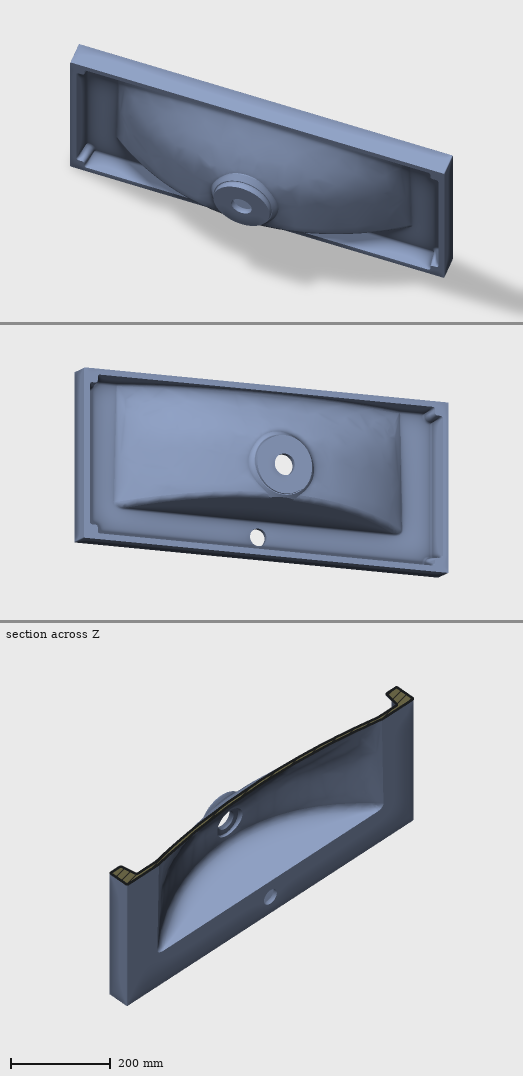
import cadquery as cq


LENGTH = 800.0
HEIGHT = 350.0
SLAB_DEPTH = 50.0
FLOOR_THICKNESS = 10.0
EDGE_RADIUS = 2.0

SIDE_RIM_WIDTH = 13.0
RIM_WIDTH = 12.0
CORNER_STEP = 17.0
RECESS_DRAFT = 10.0
RECESS_CORNER_RADIUS = 5.0
RECESS_FLOOR_RADIUS = 4.5
RECESS_DEPTH = SLAB_DEPTH - FLOOR_THICKNESS

BOWL_CREST = [
    (-115.0, 119.0),
    (-77.0, 119.0),
    (-6.0, 118.0),
    (35.0, 114.5),
    (64.0, 105.0),
    (93.0, 86.0),
    (117.0, 66.0),
    (144.0, 41.0),
    (168.0, 16.0),
]
BOWL_HALF_WIDTH = 314.0
BOWL_SIDE_SLOPE = 0.02
BOWL_BOTTOM_Z = -97.5
BOWL_BOTTOM_SLOPE = 0.2
BOWL_EDGE_RADIUS = 13.0
BOWL_BASE_RADIUS = 4.0
BOWL_WALL = FLOOR_THICKNESS
CAVITY_TOP_Z = 158.0
BASE_SELECT_MARGIN = 10.0
EDGE_TOLERANCE = 0.1

PART_DEPTH = 141.0
DRAIN_Z = -6.5
DRAIN_DIAMETER = 44.0
DRAIN_FLOOR = 12.0
DRAIN_SEAT_DIAMETER = 70.0
BOSS_END_RADIUS = 60.0
BOSS_NECK_RADIUS = 63.0
BOSS_FOOT_RADIUS = 72.5
BOSS_NECK_Y = -133.0
BOSS_FOOT_Y = -122.0
BOSS_ROOT_Y = -115.0
BOSS_FOOT_LEAN = -4.5

TAP_Z = -130.0
TAP_DIAMETER = 36.0


def slab():
    """Plain block with rounded corners and +Y edges."""
    block = cq.Workplane("XY").box(LENGTH, SLAB_DEPTH, HEIGHT)
    block = block.translate((0, -SLAB_DEPTH / 2, 0))
    return block.edges("|Y").fillet(EDGE_RADIUS).faces(">Y").edges().fillet(EDGE_RADIUS)


def recess():
    """Drafted pocket whose outline steps inwards at each corner."""
    half_x = LENGTH / 2 - SIDE_RIM_WIDTH
    half_z = HEIGHT / 2 - RIM_WIDTH
    step_x = half_x - CORNER_STEP
    step_z = half_z - CORNER_STEP
    rim_plane = cq.Workplane("XZ", origin=(0, -SLAB_DEPTH, 0))
    long_bar = rim_plane.rect(2 * half_x, 2 * step_z).extrude(-RECESS_DEPTH)
    tall_bar = rim_plane.rect(2 * step_x, 2 * half_z).extrude(-RECESS_DEPTH)
    cross = long_bar.union(tall_bar).edges("|Y").fillet(RECESS_CORNER_RADIUS)
    mouth = cross.faces("<Y").wires().toPending().workplane(origin=(0, -SLAB_DEPTH, 0))
    pocket = mouth.extrude(-RECESS_DEPTH, combine=False, taper=RECESS_DRAFT)
    return pocket.faces(">Y").edges().fillet(RECESS_FLOOR_RADIUS)


def below_bottom_wall(base_y, bottom_z):
    """Space under the bottom wall, which slopes up towards -Y from (base_y, bottom_z)."""
    low_z = 2 * BOWL_BOTTOM_Z
    end_y = base_y - PART_DEPTH
    end_z = bottom_z + BOWL_BOTTOM_SLOPE * PART_DEPTH
    outline = [(base_y, low_z), (base_y, bottom_z), (end_y, end_z), (end_y, low_z)]
    plane = cq.Workplane("YZ", origin=(-LENGTH / 2, 0, 0))
    return plane.polyline(outline).close().extrude(LENGTH)


def bowl_form(base_y, bottom_z):
    """Bowl-shaped solid rising towards -Y from the plane y = base_y."""
    sections = []
    for z, rise in BOWL_CREST:
        half_width = BOWL_HALF_WIDTH - BOWL_SIDE_SLOPE * z
        section = (
            cq.Workplane("XY", origin=(0, base_y, z))
            .moveTo(-half_width, 0)
            .threePointArc((0, -rise), (half_width, 0))
            .close()
        )
        sections.append(section.val())
    form = cq.Workplane(cq.Solid.makeLoft(sections))
    form = form.cut(below_bottom_wall(base_y, bottom_z))
    lower_edge = form.faces("<Z").edges("<Y")
    return lower_edge.fillet(BOWL_EDGE_RADIUS)


def drain_boss():
    """Tapered boss on a foot that leans with the bowl and flares out to meet it."""
    boss = (
        cq.Workplane("XY", origin=(0, 0, DRAIN_Z))
        .moveTo(0, -PART_DEPTH)
        .lineTo(BOSS_END_RADIUS, -PART_DEPTH)
        .lineTo(BOSS_NECK_RADIUS, BOSS_ROOT_Y)
        .lineTo(0, BOSS_ROOT_Y)
        .close()
        .revolve(360, (0, 0, 0), (0, 1, 0))
    )
    foot = (
        cq.Workplane("XY", origin=(0, 0, DRAIN_Z))
        .moveTo(0, BOSS_NECK_Y)
        .lineTo(BOSS_NECK_RADIUS, BOSS_NECK_Y)
        .lineTo(BOSS_FOOT_RADIUS, BOSS_FOOT_Y)
        .lineTo(BOSS_FOOT_RADIUS, BOSS_ROOT_Y)
        .lineTo(0, BOSS_ROOT_Y)
        .close()
        .revolve(360, (0, 0, 0), (0, 1, 0))
        .rotate((0, BOSS_FOOT_Y, DRAIN_Z), (1, BOSS_FOOT_Y, DRAIN_Z), BOSS_FOOT_LEAN)
    )
    return boss.union(foot).cut(below_bottom_wall(-FLOOR_THICKNESS, BOWL_BOTTOM_Z))


def hole_along_y(diameter, z, start_y, end_y):
    """Cylinder running in +Y from start_y to end_y."""
    plane = cq.Workplane("XZ", origin=(0, start_y, z))
    return plane.circle(diameter / 2).extrude(start_y - end_y)


def bowl_cavity():
    """Hollow of the bowl, open at the +Y face and closed above by a flat ledge."""
    hollow = bowl_form(0.0, BOWL_BOTTOM_Z + BOWL_WALL)
    keep = cq.Workplane("XY").box(LENGTH, 2 * PART_DEPTH, 2 * CAVITY_TOP_Z)
    return hollow.intersect(keep)


def bowl_base_edges():
    """Selector for the edge where the bowl stands on the slab floor."""
    reach_x = BOWL_HALF_WIDTH + BASE_SELECT_MARGIN
    return cq.selectors.BoxSelector(
        (-reach_x, -FLOOR_THICKNESS - EDGE_TOLERANCE, BOWL_BOTTOM_Z - BASE_SELECT_MARGIN),
        (reach_x, -FLOOR_THICKNESS + EDGE_TOLERANCE, CAVITY_TOP_Z),
    )


back = slab().cut(recess()).union(bowl_form(-FLOOR_THICKNESS, BOWL_BOTTOM_Z))
back = back.edges(bowl_base_edges()).fillet(BOWL_BASE_RADIUS)

drain_seat_y = DRAIN_FLOOR - PART_DEPTH
result = back.union(drain_boss()).cut(bowl_cavity())
result = result.cut(hole_along_y(DRAIN_SEAT_DIAMETER, DRAIN_Z, drain_seat_y, 0))
result = result.cut(hole_along_y(DRAIN_DIAMETER, DRAIN_Z, -PART_DEPTH, 0))
result = result.cut(hole_along_y(TAP_DIAMETER, TAP_Z, -SLAB_DEPTH, 0))